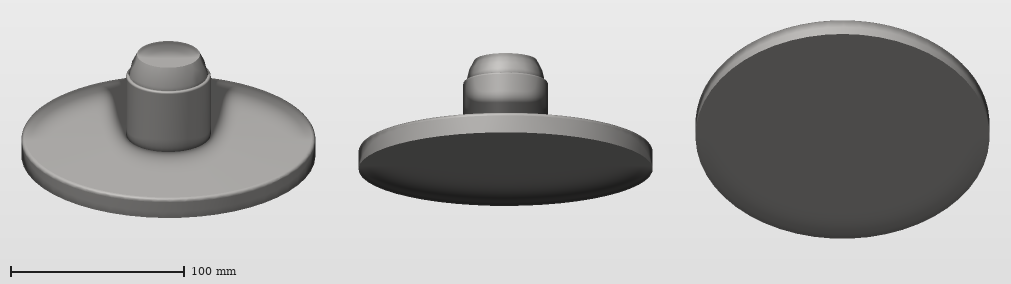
import cadquery as cq
import math

flange_radius = 85.0
rim_height = 12.0
crown_height = 13.8
seat_radius = 25.5
rim_fillet = 2.0

pin_radius = 24.5
shoulder_height = 51.8
shoulder_fillet = 1.2

nose_base_radius = 22.8
nose_top_radius = 18.2
nose_bulge = 0.8
total_height = 64.6


def make_flange():
    """Plate with a flat seat for the pin, a conical upper face and a rounded upper rim."""
    profile = (
        cq.Workplane("XZ")
        .lineTo(flange_radius, 0)
        .lineTo(flange_radius, rim_height)
        .lineTo(seat_radius, crown_height)
        .lineTo(0, crown_height)
        .close()
    )
    plate = profile.revolve(360, (0, 0), (0, 1))
    outer_edges = plate.edges("%CIRCLE").edges(cq.selectors.RadiusNthSelector(-1))
    return outer_edges.edges(">Z").fillet(rim_fillet)


def make_pin():
    """Cylinder with a rounded shoulder."""
    return (
        cq.Workplane("XY")
        .circle(pin_radius)
        .extrude(shoulder_height)
        .faces(">Z")
        .edges()
        .fillet(shoulder_fillet)
    )


def make_nose():
    """Flat-topped nose whose side is a shallow outward arc."""
    rise = total_height - shoulder_height
    run = nose_base_radius - nose_top_radius
    slant = math.hypot(run, rise)
    arc_middle = (
        (nose_base_radius + nose_top_radius) / 2 + nose_bulge * rise / slant,
        (shoulder_height + total_height) / 2 + nose_bulge * run / slant,
    )
    profile = (
        cq.Workplane("XZ")
        .moveTo(0, shoulder_height)
        .lineTo(nose_base_radius, shoulder_height)
        .threePointArc(arc_middle, (nose_top_radius, total_height))
        .lineTo(0, total_height)
        .close()
    )
    return profile.revolve(360, (0, 0), (0, 1))


result = make_flange().union(make_pin()).union(make_nose())